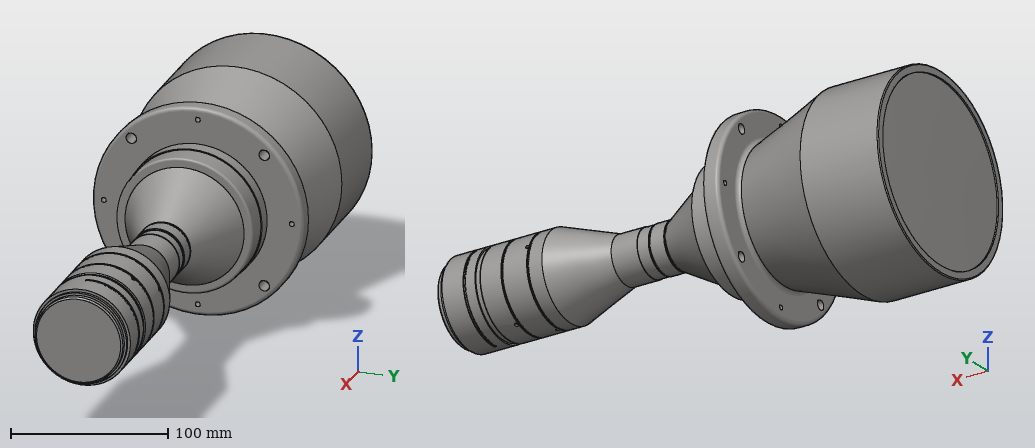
import cadquery as cq
import math

length = 367.5
hood_end = 60.0
flange_start = 122.7
flange_end = 135.2
collar_end = 145.0
rear_hub_end = 161.0
waist_start = 200.0
waist_band_start = 212.0
waist_band_end = 221.5
waist_end = 241.5
barrel_start = 284.5
ring_gap_start = 332.5
ring_gap_end = 335.8
barrel_end = 361.0
mount_start = 363.5

hood_radius = 71.0
flange_radius = hood_radius
flange_neck_radius = 49.2
collar_radius = 46.5
rear_hub_radius = 46.0
rear_cone_radius = 40.0
waist_radius = 17.5
waist_band_radius = 17.3
barrel_radius = 32.7
ring_gap_radius = 31.5
mount_step_radius = 31.0
mount_radius = 29.5

hood_chamfer = 0.7
flange_fillet = 2.5
neck_fillet = 3.0
hub_fillet = 1.5
ring_gap_chamfer = 0.7
mount_chamfer = 1.0

lens_radius = 65.5
lens_recess = 1.0
lens_bulge = 0.7

groove_width = 1.0
groove_depth = 0.7
barrel_grooves = (295.0, 315.0)
waist_grooves = (waist_start, waist_band_start)

hole_circle_radius = 63.2
bolt_hole_diameter = 7.0
pin_hole_diameter = 3.3
holes_per_set = 4
bolt_start_angle = 45

screw_diameter = 2.5
screw_depth = 2.0
screws_per_ring = 3
screw_rings = ((297.2, 37), (317.5, 7))

slot_start = 343.5
slot_width = 1.5
slot_depth = 0.7
slot_overrun = 3.0


def body():
    neck_round_start = flange_start - neck_fillet
    neck_round_middle = neck_fillet * math.sqrt(0.5)
    profile = (
        cq.Workplane("XY")
        .lineTo(0, hood_radius - hood_chamfer)
        .lineTo(hood_chamfer, hood_radius)
        .lineTo(hood_end, hood_radius)
        .lineTo(neck_round_start, flange_neck_radius)
        .threePointArc(
            (neck_round_start + neck_round_middle,
             flange_neck_radius + neck_fillet - neck_round_middle),
            (flange_start, flange_neck_radius + neck_fillet),
        )
        .lineTo(flange_start, flange_radius - flange_fillet)
        .radiusArc((flange_start + flange_fillet, flange_radius), flange_fillet)
        .lineTo(flange_end - flange_fillet, flange_radius)
        .radiusArc((flange_end, flange_radius - flange_fillet), flange_fillet)
        .lineTo(flange_end, collar_radius)
        .lineTo(collar_end, collar_radius)
        .lineTo(collar_end, rear_hub_radius)
        .lineTo(rear_hub_end - hub_fillet, rear_hub_radius)
        .radiusArc((rear_hub_end, rear_hub_radius - hub_fillet), hub_fillet)
        .lineTo(rear_hub_end, rear_cone_radius)
        .lineTo(waist_start, waist_radius)
        .lineTo(waist_band_start, waist_radius)
        .lineTo(waist_band_start, waist_band_radius)
        .lineTo(waist_band_end, waist_band_radius)
        .lineTo(waist_band_end, waist_radius)
        .lineTo(waist_end, waist_radius)
        .lineTo(barrel_start, barrel_radius)
        .lineTo(ring_gap_start - ring_gap_chamfer, barrel_radius)
        .lineTo(ring_gap_start, barrel_radius - ring_gap_chamfer)
        .lineTo(ring_gap_start, ring_gap_radius)
        .lineTo(ring_gap_end, ring_gap_radius)
        .lineTo(ring_gap_end, barrel_radius)
        .lineTo(barrel_end, barrel_radius)
        .lineTo(barrel_end, mount_step_radius)
        .lineTo(mount_start, mount_step_radius)
        .lineTo(mount_start, mount_radius)
        .lineTo(length - mount_chamfer, mount_radius)
        .lineTo(length, mount_radius - mount_chamfer)
        .lineTo(length, 0)
        .close()
    )
    return profile.revolve(360, (0, 0, 0), (1, 0, 0))


def lens_recess_cut():
    dome_radius = (lens_radius**2 + lens_bulge**2) / (2 * lens_bulge)
    return (
        cq.Workplane("XY")
        .lineTo(0, lens_radius)
        .lineTo(lens_recess, lens_radius)
        .radiusArc((lens_recess - lens_bulge, 0), -dome_radius)
        .close()
        .revolve(360, (0, 0, 0), (1, 0, 0))
    )


def ring_cut(start, width, surface_radius, depth):
    return (
        cq.Workplane("YZ", origin=(start, 0, 0))
        .circle(surface_radius + depth)
        .circle(surface_radius - depth)
        .extrude(width)
    )


def flange_holes(diameter, start_angle):
    return (
        cq.Workplane("YZ", origin=(flange_start, 0, 0))
        .polarArray(hole_circle_radius, start_angle, 360, holes_per_set)
        .circle(diameter / 2)
        .extrude(flange_end - flange_start)
    )


def screw_holes(station, first_angle):
    holes = cq.Workplane("XZ")
    for index in range(screws_per_ring):
        angle = first_angle + index * 360 / screws_per_ring
        hole = (
            cq.Workplane("XZ", origin=(station, screw_depth - barrel_radius, 0))
            .circle(screw_diameter / 2)
            .extrude(2 * screw_depth)
            .rotate((0, 0, 0), (1, 0, 0), -angle)
        )
        holes = holes.add(hole)
    return holes.combine()


def index_slot():
    full_ring = ring_cut(slot_start, slot_width, barrel_radius, slot_depth)
    slot_side = cq.Workplane("XY").box(
        length, 2 * barrel_radius, 3 * barrel_radius, centered=(False, False, True)
    )
    return full_ring.intersect(slot_side.translate((0, -slot_overrun, 0)))


result = body().cut(lens_recess_cut())

for start in barrel_grooves:
    result = result.cut(ring_cut(start, groove_width, barrel_radius, groove_depth))
for start in waist_grooves:
    result = result.cut(ring_cut(start, groove_width, waist_radius, groove_depth))

result = result.cut(flange_holes(bolt_hole_diameter, bolt_start_angle))
result = result.cut(flange_holes(pin_hole_diameter, 0))

for station, first_angle in screw_rings:
    result = result.cut(screw_holes(station, first_angle))

result = result.cut(index_slot())